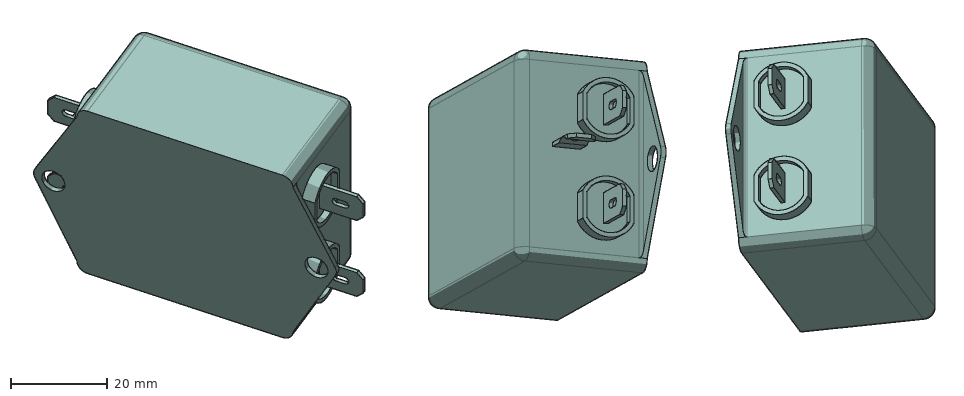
import cadquery as cq
import math

total_length = 73.0
housing_width = 50.0
housing_depth = 29.0
housing_height = 45.0
housing_round = 2.5
half_width = housing_width / 2

ear_thickness = 1.2
ear_bend_radius = 0.65
ear_reach = 35.05
ear_tip_radius = 2.55
ear_tip_height = 0.5
ear_hole_offset = 30.45
ear_hole_diameter = 5.3
ear_root_height = housing_height / 2 - housing_round

collar_spacing = 21.0
collar_from_face = 10.0
collar_length = 3.0
collar_radius = 6.5
collar_flat_offset = 5.8
collar_wall = 0.95
collar_recess = 1.5

blade_thickness = 0.9
blade_width = 6.6
tip_chamfer = 1.45
slot_width = 1.75
slot_length = 3.8
slot_from_tip = 3.35

tab_reach = 34.5
tab_width = 6.3
tab_from_face = 18.25
tab_height = 2.3
tab_hole_offset = 30.4
tab_hole_diameter = 2.05

embed = 1.45


def make_housing():
    """Block with rounded depth edges and rounded back rim; the mounting face stays sharp."""
    block = cq.Workplane("XY").box(housing_width, housing_depth, housing_height)
    block = block.translate((0, housing_depth / 2, 0))
    return block.edges("|Y or >Y").fillet(housing_round)


def make_ear():
    """Mounting ear on +X: a round-tipped triangle with a bend radius against the wall."""
    tip_center_x = ear_reach - ear_tip_radius

    def tangent_point(side):
        """Point where the slanted edge from the upper (1) or lower (-1) root corner meets the tip."""
        run = half_width - tip_center_x
        rise = ear_root_height - side * ear_tip_height
        angle = math.atan2(rise, run) - math.acos(ear_tip_radius / math.hypot(run, rise))
        return (
            tip_center_x + ear_tip_radius * math.cos(angle),
            ear_tip_height + side * ear_tip_radius * math.sin(angle),
        )

    bend_top = ear_thickness + ear_bend_radius
    outline = (
        cq.Workplane("XZ")
        .moveTo(half_width - embed, -ear_root_height)
        .lineTo(half_width, -ear_root_height)
        .lineTo(*tangent_point(-1))
        .threePointArc((ear_reach, ear_tip_height), tangent_point(1))
        .lineTo(half_width, ear_root_height)
        .lineTo(half_width - embed, ear_root_height)
        .close()
        .extrude(-bend_top)
    )
    bend_offset = ear_bend_radius * (1 - math.sqrt(0.5))
    profile = (
        cq.Workplane("XY")
        .moveTo(half_width - embed, 0)
        .lineTo(ear_reach, 0)
        .lineTo(ear_reach, ear_thickness)
        .lineTo(half_width + ear_bend_radius, ear_thickness)
        .threePointArc(
            (half_width + bend_offset, ear_thickness + bend_offset),
            (half_width, bend_top),
        )
        .lineTo(half_width - embed, bend_top)
        .close()
        .extrude(ear_root_height, both=True)
    )
    return outline.intersect(profile)


def make_ear_holes():
    """Screw holes in both ears; on -X the hole runs on and scoops the underside of the earth tab."""
    return (
        cq.Workplane("XZ")
        .pushPoints([(-ear_hole_offset, 0), (ear_hole_offset, 0)])
        .circle(ear_hole_diameter / 2)
        .extrude(-housing_depth)
    )


def flatted_cylinder(radius, flat_offset, start, end):
    """Cylinder along X from start to end, with flats facing -Y and +Y."""
    length = end - start
    cylinder = cq.Workplane("YZ").circle(radius).extrude(length)
    flats = cq.Workplane("YZ").rect(2 * flat_offset, 2 * radius).extrude(length)
    return cylinder.intersect(flats).translate((start, 0, 0))


def make_plate(start, tip, width, thickness):
    """Flat terminal in the XZ plane, centred on Y and Z, with its +X corners cut off."""
    return (
        cq.Workplane("XY")
        .box(tip - start, thickness, width)
        .edges(">X and |Y")
        .chamfer(tip_chamfer)
        .translate(((start + tip) / 2, 0, 0))
    )


def make_terminal():
    """Recessed collar with its slotted blade, pointing to +X."""
    collar_end = half_width + collar_length
    recess_floor = collar_end - collar_recess
    collar = flatted_cylinder(collar_radius, collar_flat_offset, half_width - embed, collar_end)
    recess = flatted_cylinder(
        collar_radius - collar_wall, collar_flat_offset - collar_wall, recess_floor, collar_end
    )
    blade_tip = total_length / 2
    blade = make_plate(recess_floor - embed, blade_tip, blade_width, blade_thickness)
    slot = (
        cq.Workplane("XZ")
        .center(blade_tip - slot_from_tip - slot_length / 2, 0)
        .slot2D(slot_length, slot_width)
        .extrude(blade_thickness, both=True)
    )
    return collar.cut(recess).union(blade.cut(slot))


def make_earth_tab():
    """Plain tab with a round hole, lying flat in the XY plane and pointing to -X."""
    tab = make_plate(half_width - embed, tab_reach, tab_width, blade_thickness)
    hole = (
        cq.Workplane("XZ")
        .center(tab_hole_offset, 0)
        .circle(tab_hole_diameter / 2)
        .extrude(blade_thickness, both=True)
    )
    tab = tab.cut(hole).mirror("YZ").rotate((0, 0, 0), (1, 0, 0), 90)
    return tab.translate((0, tab_from_face, tab_height))


ear = make_ear()
terminal = make_terminal()

result = make_housing().union(ear).union(ear.mirror("YZ"))
for side in (-1, 1):
    placed = terminal.translate((0, collar_from_face, side * collar_spacing / 2))
    result = result.union(placed).union(placed.mirror("YZ"))
result = result.union(make_earth_tab()).cut(make_ear_holes())